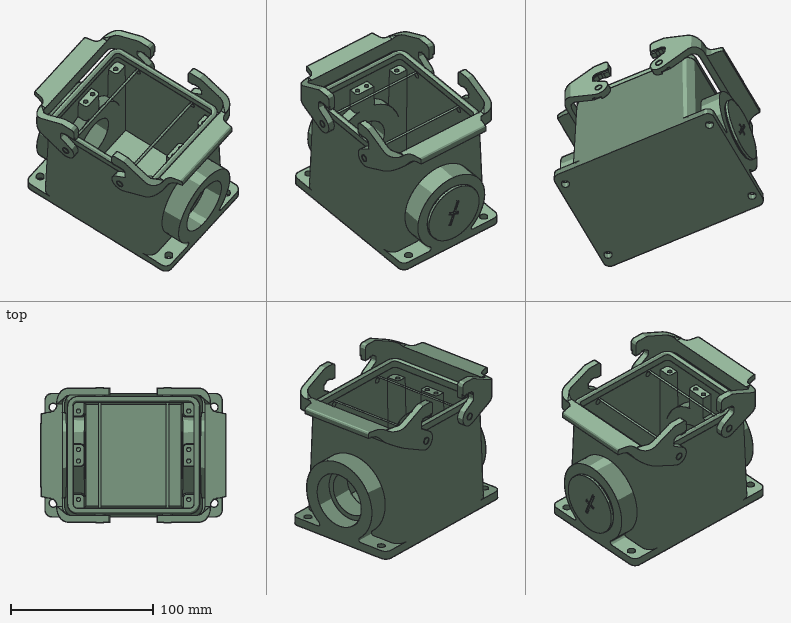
import cadquery as cq
import math

flange_length = 125.0
flange_width = 87.1
flange_height = 6.3
flange_corner = 5.0
flange_hole = 5.6
flange_hole_x = 56.6
flange_hole_y = 33.7

draft = 1.43
wall_length = 97.5
wall_corner = 7.5
wall_top = 84.6

lip_top = 90.3
lip_thickness = 3.9
lip_length = 92.8
lip_width = 82.6
lip_corner = 7.0
lip_crown = 0.8
lip_step = 0.1

floor_height = 3.9
cavity_draft_top = 68.4
cavity_length = 70.1
post_top = 79.1
post_edge_radius = 2.5
corner_post_y = 27.6
center_post_width = 15.3
post_hole = 3.0
post_hole_depth = 7.8
post_hole_x = 38.8
post_hole_ys = (-31.1, -4.0, 4.0, 31.1)
drill_angle = 118
niche_overlap = 3.9

port_height = 33.1
port_diameter = 60.1
port_foot_radius = 1.8
port_bore = 33.0
port_bore_overlap = 2.6
plug_bore = 40.5
plug_bore_depth = 13.1

plug_face_x = -65.6
plug_flange = 45.0
plug_flange_thickness = 2.1
plug_neck = 43.0
cross_long = 20.1
cross_short = 8.1
cross_slot = 1.8
cross_depth = 1.0
cross_tilt = 21

pivot_x = 23.8
pivot_z = 81.2
pin_diameter = 5.1
pin_tail = 4.0
pin_span = 95.7
pivot_boss = 7.0
lever_width = 94.7
arm_thickness = 5.0
hub_radius = 7.0
relief_top = 76.5
relief_depth = 1.6

outer_arm_radius = 7.7
outer_bar_radius = 14.8
inner_arm_radius = 5.9
inner_bar_radius = 6.9
bend_split = 60
lever_bar_outer_x = 54.3
lever_bar_inner_x = 50.2
bend_cut_x = 47.1
bend_top_rise = 0.53

lever_top = 110.0
hook_tip_x = 16.6
hook_tip_radius = 2.9
hook_edge_radius = 1.3
hook_lower_z = 99.9
hook_slot_x = 28.5
hook_throat_radius = 3.3
slot_radius = 1.6
pad_setback = 1.0
hook_pad_z = 97.9
pad_crest_x = 20.4
pad_valley_x = 22.5
pad_valley_z = 99.0
top_bend_x = 27.5
top_bend_radius = 3.9
arm_slope = 24.5
arm_lower_slope = 25.5
neck_slope = 32

grip_x = 65.1
grip_top = 97.9
grip_bottom = 93.5
grip_flat_x = 61.3
grip_arc_x = 56.6
grip_arc_z = 91.3
grip_tip_radius = 1.5
grip_tip_y = 29.2
grip_root_x = 58.0
grip_root_y = 30.6
grip_mid_x = 55.5
grip_mid_y = 32.2
grip_fillet_y = 36.1

lip_inner_length = lip_length - 2 * lip_thickness
lip_inner_width = lip_width - 2 * lip_thickness
cavity_width = lip_inner_width - 2 * lip_step
cavity_corner = lip_corner - lip_thickness
niche_x = lip_inner_length / 2 + lip_step
niche_inner_x = cavity_length / 2 - niche_overlap
arm_inner_y = lever_width / 2 - arm_thickness


def block(length, width, bottom, top, corner=0.0, taper=0.0):
    """Upright block centred on the Z axis, with side taper and rounded upright edges."""
    body = cq.Workplane("XY").workplane(offset=bottom).rect(length, width).extrude(top - bottom, taper=taper)
    return body.edges("not #Z").fillet(corner) if corner else body


def cylinder_x(diameter, x_start, x_end):
    """Cylinder along X on the port axis."""
    start = cq.Workplane("YZ", origin=(x_start, 0, port_height))
    return start.circle(diameter / 2).extrude(x_end - x_start)


def cylinder_y(diameter, x, y_start, y_end):
    """Cylinder along Y on a lever pivot axis."""
    start = cq.Workplane("XZ", origin=(x, y_start, pivot_z))
    return start.circle(diameter / 2).extrude(y_start - y_end)


def fillet_edge_along_y(body, x, z, radius):
    """Round the edge along Y that passes closest to (x, z)."""
    return body.edges(cq.selectors.NearestToPointSelector((x, 0, z))).fillet(radius)


def housing_shell():
    """Flange, tapered wall, both port barrels and the pivot bosses, all still solid."""
    ends = block(flange_length, flange_width, 0, flange_height)
    sides = block(2 * flange_length, flange_width, 0, flange_height, taper=draft)
    flange = ends.intersect(sides).edges("not #Z").fillet(flange_corner)
    wall = block(wall_length, flange_width, 0, wall_top, wall_corner, draft)
    shell = flange.union(wall).union(port_barrels())
    for x in (-pivot_x, pivot_x):
        shell = shell.union(cylinder_y(pivot_boss, x, -arm_inner_y, arm_inner_y))
    return shell


def lip():
    """Rim with a crowned top, swept around the opening."""
    half_thickness = lip_thickness / 2
    edge_z = lip_top - lip_crown
    center_y = lip_width / 2 - half_thickness
    center_block = block(
        lip_length - lip_thickness, lip_width - lip_thickness, wall_top, lip_top, lip_corner - half_thickness
    )
    path = center_block.faces("<Z").wires()
    section = (
        cq.Workplane("YZ")
        .moveTo(center_y - half_thickness, wall_top)
        .lineTo(center_y + half_thickness, wall_top)
        .lineTo(center_y + half_thickness, edge_z)
        .threePointArc((center_y, lip_top), (center_y - half_thickness, edge_z))
        .close()
    )
    return section.sweep(path)


def port_barrels():
    """One round bar from end to end, flared into the flange by a rounded foot."""
    radius = port_diameter / 2
    foot_z = flange_height + port_foot_radius
    reach = radius + port_foot_radius
    foot_y = math.sqrt(reach**2 - (port_height - foot_z) ** 2)
    touch_y = foot_y * radius / reach
    touch_z = port_height + (foot_z - port_height) * radius / reach
    neck_y = foot_y - port_foot_radius
    outline = (
        cq.Workplane("YZ", origin=(-flange_length / 2, 0, 0))
        .moveTo(foot_y, flange_height)
        .threePointArc((neck_y, foot_z), (touch_y, touch_z))
        .threePointArc((0, port_height + radius), (-touch_y, touch_z))
        .threePointArc((-neck_y, foot_z), (-foot_y, flange_height))
        .close()
    )
    return outline.extrude(flange_length)


def central_cavity():
    """Cavity between the posts: upright near the top, tapering down to the floor."""
    upper = block(cavity_length, cavity_width, cavity_draft_top, post_top)
    depth = cavity_draft_top - floor_height
    lower = cq.Workplane("XY").workplane(offset=cavity_draft_top).rect(cavity_length, cavity_width)
    return upper.union(lower.extrude(-depth, taper=draft))


def niches():
    """Four pockets beside the centre posts, narrowing down to the inner barrels."""
    shrink = (post_top - port_height) * math.tan(math.radians(draft))
    inner_y = center_post_width / 2
    pockets = cq.Workplane("XY")
    for x in (-niche_x, niche_inner_x):
        for side in (-1, 1):
            outline = cq.Workplane("YZ", origin=(x, 0, 0)).polyline(
                [
                    (side * inner_y, post_top),
                    (side * corner_post_y, post_top),
                    (side * (corner_post_y - shrink), port_height),
                    (side * (inner_y + shrink), port_height),
                ]
            )
            pockets = pockets.union(outline.close().extrude(niche_x - niche_inner_x))
    return pockets


def round_post_edges(cavity):
    """Round the inner post edges; the -Y edge of the +X centre post stays sharp."""
    half_cavity = cavity_length / 2
    beyond_posts = corner_post_y + 1.3
    rounded_zones = (
        (-half_cavity, -beyond_posts, beyond_posts),
        (half_cavity, -beyond_posts, -center_post_width),
        (half_cavity, 0, beyond_posts),
    )
    for x, y_min, y_max in rounded_zones:
        zone = cq.selectors.BoxSelector((x - 1.3, y_min, port_height), (x + 1.3, y_max, post_top))
        cavity = cavity.edges("not #Z").edges(zone).fillet(post_edge_radius)
    return cavity


def housing_cavity():
    """Everything that is hollow inside the housing, apart from the port bores."""
    center = central_cavity()
    barrel = cylinder_x(port_diameter, -flange_length / 2, flange_length / 2)
    cavity = center.union(niches())
    cavity = round_post_edges(cavity)
    cavity = cavity.cut(barrel.cut(center))
    above_posts = block(2 * niche_x, cavity_width, post_top, wall_top, cavity_corner)
    return cavity.union(above_posts)


def port_bores():
    """Stepped bore at each end: wide outside for the plug, narrower through the barrel."""
    face = flange_length / 2
    bores = cylinder_x(port_bore, -face, -cavity_length / 2 + port_bore_overlap)
    bores = bores.union(cylinder_x(plug_bore, -face, -face + plug_bore_depth))
    return bores.union(bores.mirror("YZ"))


def post_screw_holes():
    """Blind drilled holes with a cone point in the tops of the posts."""
    radius = post_hole / 2
    cone = radius / math.tan(math.radians(drill_angle / 2))
    drill = (
        cq.Workplane("XZ")
        .polyline([(0, 0), (radius, 0), (radius, -post_hole_depth), (0, -post_hole_depth - cone)])
        .close()
        .revolve(360, (0, 0), (0, 1))
        .val()
    )
    places = [(x, y, post_top) for x in (-post_hole_x, post_hole_x) for y in post_hole_ys]
    return cq.Workplane("XY").pushPoints(places).eachpoint(lambda place: drill.moved(place), combine=False)


def flange_holes():
    """Four mounting holes through the flange corners."""
    places = [(x * flange_hole_x, y * flange_hole_y) for x in (-1, 1) for y in (-1, 1)]
    return cq.Workplane("XY").pushPoints(places).circle(flange_hole / 2).extrude(flange_height)


def make_housing():
    """Housing with its cavity, lip, port bores, screw holes and pin holes."""
    body = housing_shell().cut(housing_cavity()).union(lip()).cut(port_bores())
    body = body.cut(post_screw_holes()).cut(flange_holes())
    for x in (-pivot_x, pivot_x):
        body = body.cut(cylinder_y(pin_tail, x, -lever_width / 2, lever_width / 2))
    return body


def make_plug():
    """Plug in the -X port: flange, neck and shank, with a tilted cross slot in its face."""
    port_face = -flange_length / 2
    neck_start = plug_face_x + plug_flange_thickness
    body = cylinder_x(plug_flange, plug_face_x, neck_start)
    body = body.union(cylinder_x(plug_neck, neck_start, port_face))
    body = body.union(cylinder_x(plug_bore, port_face, port_face + plug_bore_depth))
    face = cq.Workplane("YZ", origin=(plug_face_x, 0, port_height)).transformed(rotate=(0, 0, cross_tilt))
    cross = face.rect(cross_slot, cross_long).extrude(cross_depth)
    cross = cross.union(face.rect(cross_short, cross_slot).extrude(cross_depth))
    return body.cut(cross)


def lever_profile():
    """Side outline of the +X lever, extruded across the whole width."""
    upper = math.radians(arm_slope)
    lower = math.radians(arm_lower_slope)
    neck = math.radians(neck_slope)
    hub_low = (pivot_x + hub_radius * math.sin(lower), pivot_z - hub_radius * math.cos(lower))
    hub_side = (pivot_x - hub_radius, pivot_z)
    hub_high = (pivot_x - hub_radius * math.sin(neck), pivot_z + hub_radius * math.cos(neck))
    slot_bottom = hub_high[1] + (hook_slot_x - hub_high[0]) * math.tan(neck)
    grip_bend_x = top_bend_x + (lever_top - grip_top) / math.tan(upper)
    bar_bottom = hub_low[1] + (lever_bar_outer_x - hub_low[0]) * math.tan(lower)
    outline = (
        cq.Workplane("XZ", origin=(0, lever_width / 2, 0))
        .moveTo(hook_tip_x, lever_top)
        .lineTo(top_bend_x, lever_top)
        .lineTo(grip_bend_x, grip_top)
        .lineTo(grip_x, grip_top)
        .lineTo(grip_x, grip_bottom)
        .lineTo(grip_flat_x, grip_bottom)
        .threePointArc((grip_arc_x, grip_arc_z), (lever_bar_outer_x, bar_bottom))
        .lineTo(*hub_low)
        .threePointArc(hub_side, hub_high)
        .lineTo(hook_slot_x, slot_bottom)
        .lineTo(hook_slot_x, hook_lower_z)
        .lineTo(hook_tip_x, hook_lower_z)
        .close()
    )
    body = outline.extrude(lever_width)
    roundings = (
        (hook_tip_x, lever_top, hook_tip_radius),
        (hook_tip_x, hook_lower_z, hook_edge_radius),
        (top_bend_x, lever_top, top_bend_radius),
        (grip_x, grip_top, grip_tip_radius),
        (hook_slot_x, slot_bottom, slot_radius),
        (hook_slot_x, hook_lower_z, hook_throat_radius),
    )
    for x, z, radius in roundings:
        body = fillet_edge_along_y(body, x, z, radius)
    return body


def hook_pads():
    """Raised pad under the hook of each arm, set back from the outer face."""
    throat_z = hook_lower_z - hook_throat_radius
    span = lever_width - 2 * pad_setback
    return (
        cq.Workplane("XZ", origin=(0, span / 2, 0))
        .moveTo(hook_tip_x, hook_lower_z + hook_edge_radius)
        .lineTo(hook_tip_x, hook_pad_z)
        .lineTo(pad_crest_x, hook_pad_z)
        .lineTo(pad_valley_x, pad_valley_z)
        .lineTo(hook_slot_x - hook_throat_radius, pad_valley_z)
        .lineTo(hook_slot_x, throat_z)
        .lineTo(hook_slot_x, hook_lower_z + hook_edge_radius)
        .close()
        .extrude(span)
    )


def bent_outline(bar_x, arm_y, arm_radius, bar_radius):
    """Region between the YZ plane and a U of two arms and a bar, with two-arc bends."""
    split = math.radians(bend_split)
    bend_x = arm_radius * math.sin(split) + bar_radius * (1 - math.sin(split))
    bend_y = arm_radius * (1 - math.cos(split)) + bar_radius * math.cos(split)
    start_x = bar_x - bend_x
    end_y = arm_y - bend_y

    def on_arm_arc(angle):
        return (start_x + arm_radius * math.sin(angle), arm_y - arm_radius * (1 - math.cos(angle)))

    def on_bar_arc(angle):
        return (bar_x - bar_radius * (1 - math.sin(angle)), end_y + bar_radius * math.cos(angle))

    half = (
        cq.Workplane("XY")
        .moveTo(0, 0)
        .lineTo(0, arm_y)
        .lineTo(start_x, arm_y)
        .threePointArc(on_arm_arc(split / 2), on_arm_arc(split))
        .threePointArc(on_bar_arc((split + math.pi / 2) / 2), (bar_x, end_y))
        .lineTo(bar_x, 0)
    )
    return half.mirrorX()


def lever_plan():
    """Outline from above: a U around the opening, with a grip plate on its cross bar."""
    height = lever_top
    outer = bent_outline(lever_bar_outer_x, lever_width / 2, outer_arm_radius, outer_bar_radius)
    inner = bent_outline(lever_bar_inner_x, arm_inner_y, inner_arm_radius, inner_bar_radius)
    grip = (
        cq.Workplane("XY")
        .moveTo(lever_bar_inner_x, -grip_fillet_y)
        .lineTo(lever_bar_outer_x, -grip_fillet_y)
        .threePointArc((grip_mid_x, -grip_mid_y), (grip_root_x, -grip_root_y))
        .lineTo(grip_x, -grip_tip_y)
        .lineTo(grip_x, grip_tip_y)
        .lineTo(grip_root_x, grip_root_y)
        .threePointArc((grip_mid_x, grip_mid_y), (lever_bar_outer_x, grip_fillet_y))
        .lineTo(lever_bar_inner_x, grip_fillet_y)
        .close()
        .extrude(height)
    )
    return outer.extrude(height).cut(inner.extrude(height)).union(grip)


def bar_top_cut():
    """Material to remove above the flat bar and grip, sloping up into both bends."""
    side_z = grip_top + (arm_inner_y - grip_fillet_y) * bend_top_rise
    return (
        cq.Workplane("YZ", origin=(bend_cut_x, 0, 0))
        .polyline(
            [
                (-arm_inner_y, lever_top),
                (-arm_inner_y, side_z),
                (-grip_fillet_y, grip_top),
                (grip_fillet_y, grip_top),
                (arm_inner_y, side_z),
                (arm_inner_y, lever_top),
            ]
        )
        .close()
        .extrude(grip_x - bend_cut_x)
    )


def hub_reliefs():
    """Shallow recess in the inner face of each arm, at the lower side of its hub."""
    reliefs = cq.Workplane("XY").workplane(offset=relief_top)
    reliefs = reliefs.pushPoints([(pivot_x + hub_radius / 2, y) for y in (-arm_inner_y, arm_inner_y)])
    return reliefs.rect(hub_radius, 2 * relief_depth).extrude(-hub_radius)


def pivot_pins():
    """Pin through each arm: a proud head outside and a thinner tail in the housing wall."""
    tail_y = cavity_width / 2
    pins = cq.Workplane("XY")
    for side in (-1, 1):
        pins = pins.union(cylinder_y(pin_diameter, pivot_x, side * arm_inner_y, side * pin_span / 2))
        pins = pins.union(cylinder_y(pin_tail, pivot_x, side * tail_y, side * lever_width / 2))
    return pins


def make_lever():
    """The +X lever with its two pivot pins."""
    body = lever_profile().union(hook_pads()).intersect(lever_plan())
    return body.cut(bar_top_cut()).cut(hub_reliefs()).union(pivot_pins())


housing = make_housing()
plug = make_plug()
lever = make_lever()
levers = [lever, lever.mirror("YZ")]
result = cq.Compound.makeCompound([housing.val(), plug.val(), *[one.val() for one in levers]])